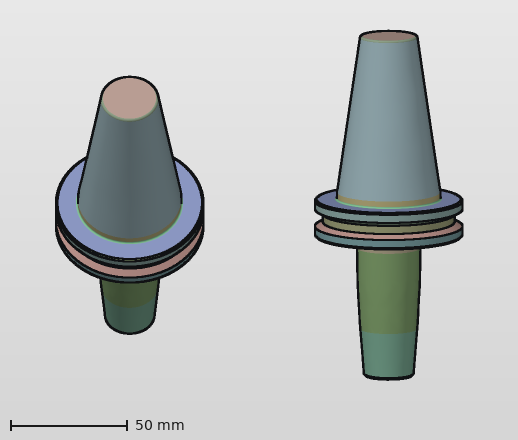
import cadquery as cq
import math

total_height = 148.2

taper_length = 68.2
gauge_radius = 22.2
taper_ratio = 7 / 24
taper_end_radius = gauge_radius - taper_length * taper_ratio / 2
taper_end_fillet = 1.0
gauge_z = total_height - taper_length
neck_length = 3.1
neck_fillet = 0.7

flange_radius = 31.7
flange_top_z = gauge_z - neck_length
flange_thickness = 16.0
flange_bottom_z = flange_top_z - flange_thickness
flange_chamfer = 0.7
groove_radius = 28.3
groove_center_z = gauge_z - 11.1
groove_floor_width = 3.5
groove_side_angle = math.radians(30)

collar_radius = 13.6
collar_bottom_z = 55.6
collar_fillet = 1.8
nose_top_z = 20.3
nose_angle = math.radians(4.5)
nose_chamfer = 0.9

blend_height = collar_bottom_z - nose_top_z
blend_radius = blend_height / math.sin(nose_angle)
nose_top_radius = collar_radius - blend_radius * (1 - math.cos(nose_angle))
nose_end_radius = nose_top_radius - nose_top_z * math.tan(nose_angle)
half_angle = nose_angle / 2
blend_mid = (
    collar_radius - blend_radius * (1 - math.cos(half_angle)),
    collar_bottom_z - blend_radius * math.sin(half_angle),
)


def revolve_profile(profile):
    """Revolve a closed radius-height profile about the Z axis."""
    return profile.close().revolve(360, (0, 0, 0), (0, 1, 0))


def make_taper():
    profile = (
        cq.Workplane("XZ")
        .moveTo(0, flange_top_z)
        .lineTo(gauge_radius, flange_top_z)
        .lineTo(gauge_radius, gauge_z)
        .lineTo(taper_end_radius, total_height)
        .lineTo(0, total_height)
    )
    return revolve_profile(profile).faces(">Z").edges().fillet(taper_end_fillet)


def make_flange():
    disc = (
        cq.Workplane("XY", origin=(0, 0, flange_bottom_z))
        .circle(flange_radius)
        .extrude(flange_thickness)
        .edges()
        .chamfer(flange_chamfer)
    )
    half_floor = groove_floor_width / 2
    half_mouth = half_floor + (flange_radius - groove_radius) * math.tan(groove_side_angle)
    groove = (
        cq.Workplane("XZ")
        .moveTo(groove_radius, groove_center_z - half_floor)
        .lineTo(flange_radius, groove_center_z - half_mouth)
        .lineTo(flange_radius, groove_center_z + half_mouth)
        .lineTo(groove_radius, groove_center_z + half_floor)
    )
    return disc.cut(revolve_profile(groove))


def make_shank():
    profile = (
        cq.Workplane("XZ")
        .lineTo(nose_end_radius, 0)
        .lineTo(nose_top_radius, nose_top_z)
        .threePointArc(blend_mid, (collar_radius, collar_bottom_z))
        .lineTo(collar_radius, flange_bottom_z)
        .lineTo(0, flange_bottom_z)
    )
    return revolve_profile(profile).faces("<Z").edges().chamfer(nose_chamfer)


def edge_at(radius, z):
    """Select the circular edge of the given radius at height z."""
    tolerance = 0.01
    reach = radius + tolerance
    return cq.selectors.BoxSelector(
        (-reach, -reach, z - tolerance),
        (reach, reach, z + tolerance),
        boundingbox=True,
    )


result = make_flange().union(make_taper()).union(make_shank())
result = result.edges(edge_at(gauge_radius, flange_top_z)).fillet(neck_fillet)
result = result.edges(edge_at(collar_radius, flange_bottom_z)).fillet(collar_fillet)